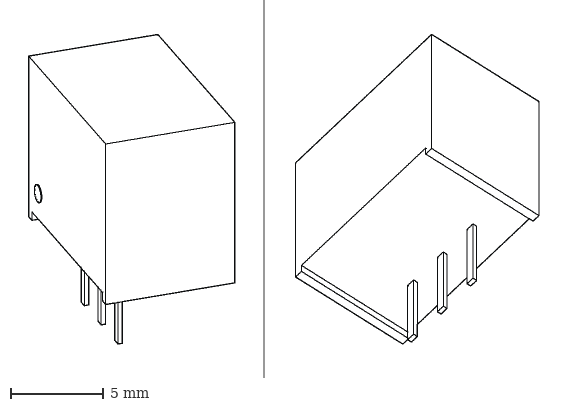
import cadquery as cq

total_height = 13.76
body_width = 11.68
body_depth = 7.5
body_height = 9.67

rail_width = 0.51
recess_height = 0.51

pin_count = 3
pin_pitch = 2.55
pin_width = 0.51
pin_thickness = 0.26
pin_setback = 2.01

mark_diameter = 1.0
mark_height = 0.05
mark_from_left = 1.51
mark_from_bottom = 2.08

body_bottom = total_height - body_height
recess_top = body_bottom + recess_height


def make_body():
    """Block with a recess running through its underside from front to back."""
    block = cq.Workplane("XY").box(body_width, body_depth, body_height, centered=(True, False, False))
    recess = cq.Workplane("XY").box(
        body_width - 2 * rail_width, body_depth, recess_height, centered=(True, False, False)
    )
    return block.cut(recess).translate((0, 0, body_bottom))


def make_pins():
    """Pins hanging from the recess ceiling down to Z = 0."""
    return (
        cq.Workplane("XY")
        .center(0, pin_setback)
        .rarray(pin_pitch, 0.14, pin_count, 1)
        .rect(pin_width, pin_thickness)
        .extrude(recess_top)
    )


def make_mark():
    """Thin disc standing out of the front face."""
    return (
        cq.Workplane("XZ")
        .center(mark_from_left - body_width / 2, body_bottom + mark_from_bottom)
        .circle(mark_diameter / 2)
        .extrude(mark_height)
    )


result = make_body().union(make_pins()).union(make_mark())